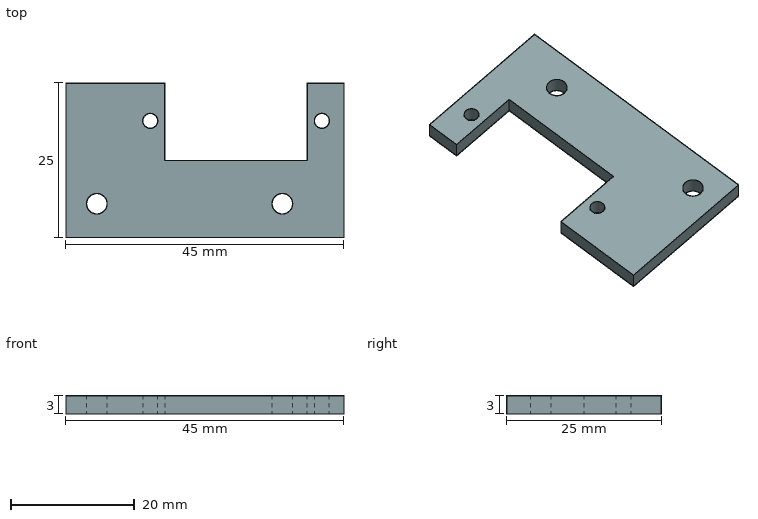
import cadquery as cq

length = 45.0
width = 25.0
thickness = 3.0

notch_left = 16.0
notch_length = 23.0
notch_depth = 12.5

large_diameter = 3.3
large_first_x = 5.0
large_spacing = 30.0
large_y = 5.5

small_diameter = 2.4
small_notch_offset = 2.4
small_back_offset = 6.1

notch_right = notch_left + notch_length
notch_floor_y = width - notch_depth
small_y = width - small_back_offset

large_centers = [(large_first_x, large_y), (large_first_x + large_spacing, large_y)]
small_centers = [
    (notch_left - small_notch_offset, small_y),
    (notch_right + small_notch_offset, small_y),
]


def through_holes(centers, diameter):
    """Cylinders spanning the plate thickness at the given centers."""
    return cq.Workplane("XY").pushPoints(centers).circle(diameter / 2).extrude(thickness)


outline = [
    (0, 0),
    (length, 0),
    (length, width),
    (notch_right, width),
    (notch_right, notch_floor_y),
    (notch_left, notch_floor_y),
    (notch_left, width),
    (0, width),
]
plate = cq.Workplane("XY").polyline(outline).close().extrude(thickness)

result = plate.cut(through_holes(large_centers, large_diameter))
result = result.cut(through_holes(small_centers, small_diameter))